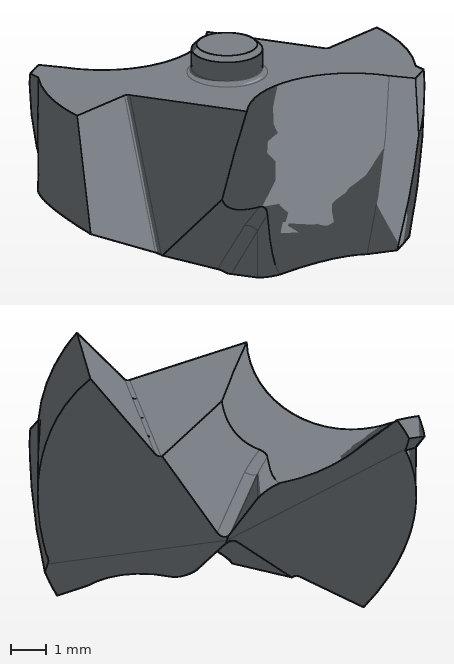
import cadquery as cq
import math


crown_height = 6.05
margin_radius = 5.5
body_radius = 5.27
oversize = 22.0

twist_per_unit = 5.855
flute_outer = (5.32, 1.36)
flute_bend = (4.33, 1.26)
flute_middle = (2.11, 0.28)
flute_end = (1.53, -2.55)
flute_exit = (1.92, -3.63)
margin_end_angle = 21.4
margin_step_angle = 24.8

notch_corner = (-2.05, -2.54)
notch_wall_run = (-0.75, -1.9)
notch_shift = (0.9, 0.1, -4.75)
notch_fillet = 0.13

point_slope = 0.364
relief_slope = 0.385
lip_slope = -0.15

gash_start = (-0.66, 0.35)
gash_bend = (1.18, -0.77)
gash_bulge = (1.56, -0.89)
gash_end = (1.98, -0.89)
gash_slope_x = 1.075
gash_slope_y = -0.914
gash_offset = 0.18
gash_fillet = 0.31

flat_offset = 5.09
flat_angle = 15.0

peg_radius = 0.99
peg_height = 0.82
peg_chamfer = 0.14
peg_fillet_width = 0.16
peg_fillet_height = 0.12
peg_fillet_bulge = 0.3
peg_embed = 0.11


def polar(radius, angle):
    """Point at a radius and an angle in degrees."""
    a = math.radians(angle)
    return (radius * math.cos(a), radius * math.sin(a))


def half_turn(shape):
    return shape.rotate((0, 0, 0), (0, 0, 1), 180)


def cut_twice(body, tool):
    """Cut a tool and its copy half a turn around the axis."""
    return body.cut(tool).cut(half_turn(tool))


def half_space(origin, normal):
    """Large block on the side of a plane that the normal points to."""
    plane = cq.Plane(origin=origin, normal=normal)
    return cq.Workplane(plane).rect(2 * oversize, 2 * oversize).extrude(oversize)


def below_slope(slope_x, slope_y, offset=0.0):
    """Space under the plane z = slope_x * x + slope_y * y + offset."""
    return half_space((0, 0, offset), (slope_x, slope_y, -1))


def same(point):
    return point


def opposite(point):
    """Point half a turn around the axis."""
    return (-point[0], -point[1])


def twisted_body():
    """Lobed section twisted along the axis."""
    margin_angle = math.degrees(math.atan2(flute_outer[1], flute_outer[0]))
    body_back_angle = math.degrees(math.atan2(-flute_exit[1], -flute_exit[0]))
    body_middle = polar(body_radius, (margin_step_angle + body_back_angle) / 2)
    body_back = polar(body_radius, body_back_angle)
    section = cq.Workplane("XY").moveTo(*flute_outer)
    for place in (same, opposite):
        section = (
            section
            .threePointArc(
                place(polar(margin_radius, (margin_angle + margin_end_angle) / 2)),
                place(polar(margin_radius, margin_end_angle)),
            )
            .lineTo(*place(polar(body_radius, margin_step_angle)))
            .threePointArc(place(body_middle), place(body_back))
            .lineTo(*place(opposite(flute_exit)))
            .lineTo(*place(opposite(flute_end)))
            .threePointArc(place(opposite(flute_middle)), place(opposite(flute_bend)))
            .lineTo(*place(opposite(flute_outer)))
        )
    twist = twist_per_unit * crown_height
    return section.close().twistExtrude(crown_height, twist).rotate((0, 0, 0), (0, 0, 1), -twist)


def notch_tool():
    """Skewed prism with a rounded corner, longer than the crown at both ends."""
    wall_reach = 4.0
    start_step = -0.5
    end_step = 2.0

    def section(steps):
        x = notch_corner[0] + steps * notch_shift[0]
        y = notch_corner[1] + steps * notch_shift[1]
        wall_x = x + wall_reach * notch_wall_run[0]
        wall_y = y + wall_reach * notch_wall_run[1]
        plane = cq.Plane(origin=(0, 0, crown_height + steps * notch_shift[2]))
        outline = [(x, y), (wall_x, wall_y), (x + margin_radius, wall_y), (x + margin_radius, y)]
        return cq.Workplane(plane).polyline(outline).close().wire().val()

    prism = cq.Workplane(obj=cq.Solid.makeLoft([section(start_step), section(end_step)], True))
    middle = (start_step + end_step) / 2
    corner = cq.selectors.NearestToPointSelector(
        (
            notch_corner[0] + middle * notch_shift[0],
            notch_corner[1] + middle * notch_shift[1],
            crown_height + middle * notch_shift[2],
        )
    )
    return prism.edges(corner).fillet(notch_fillet)


def gash_tool():
    """Space in front of the rake wall and under the inclined roof."""
    tool = (
        cq.Workplane("XY").workplane(offset=-margin_radius)
        .moveTo(*gash_start)
        .lineTo(*gash_bend)
        .threePointArc(gash_bulge, gash_end)
        .lineTo(gash_end[0], -margin_radius)
        .lineTo(gash_start[0] - margin_radius, -margin_radius)
        .lineTo(gash_start[0] - margin_radius, gash_start[1])
        .close().extrude(oversize)
        .intersect(below_slope(gash_slope_x, gash_slope_y, gash_offset))
    )
    trough_x = (gash_start[0] + gash_bend[0]) / 2
    trough_y = (gash_start[1] + gash_bend[1]) / 2
    trough_z = gash_slope_x * trough_x + gash_slope_y * trough_y + gash_offset
    trough = cq.selectors.NearestToPointSelector((trough_x, trough_y, trough_z))
    return tool.edges(trough).fillet(gash_fillet)


def peg():
    """Round peg with a chamfered top and a flared foot."""
    foot_radius = peg_radius + peg_fillet_width
    foot_middle = (
        peg_radius + peg_fillet_bulge * peg_fillet_width,
        peg_fillet_bulge * peg_fillet_height,
    )
    return (
        cq.Workplane("XZ")
        .moveTo(0, -peg_embed)
        .lineTo(foot_radius, -peg_embed)
        .lineTo(foot_radius, 0)
        .threePointArc(foot_middle, (peg_radius, peg_fillet_height))
        .lineTo(peg_radius, peg_height - peg_chamfer)
        .lineTo(peg_radius - peg_chamfer, peg_height)
        .lineTo(0, peg_height)
        .close().revolve(360, (0, 0, 0), (0, 1, 0))
        .translate((0, 0, crown_height))
    )


crown = twisted_body()
crown = cut_twice(crown, notch_tool())
crown = cut_twice(crown, below_slope(point_slope, relief_slope))
crown = cut_twice(crown, below_slope(point_slope, -lip_slope))
crown = cut_twice(crown, gash_tool())
margin_flat = half_space(
    (flat_offset, 0, crown_height),
    (math.cos(math.radians(flat_angle)), 0, math.sin(math.radians(flat_angle))),
)
crown = cut_twice(crown, margin_flat)
result = crown.union(peg())